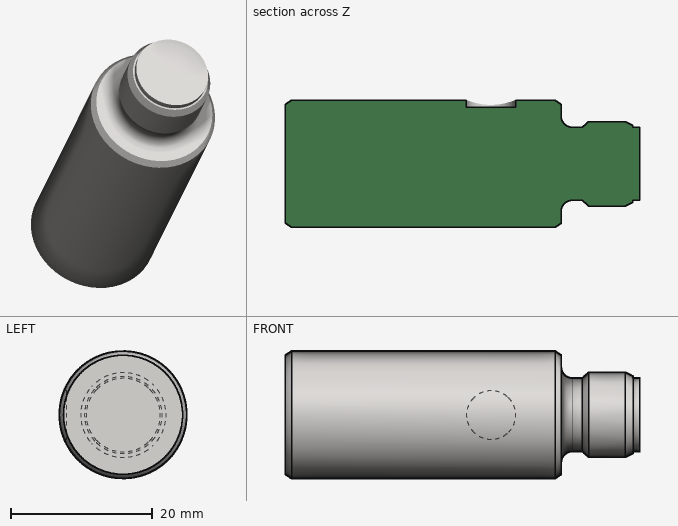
import cadquery as cq

total_length = 50.0
body_radius = 9.0
body_end = 38.95

chamfer_length = 0.9
chamfer_height = 0.6

neck_radius = 5.2
neck_fillet = 1.5
neck_end = 41.9

collar_radius = 6.0
collar_start = 42.8
collar_end = 47.95
collar_taper_end = 49.05
collar_taper_radius = 5.45
tip_radius = neck_radius

pocket_center = 29.0
pocket_radius = 3.45
pocket_depth = 1.0


def make_turned_body():
    """Revolve the half outline about the X axis."""
    face_radius = body_radius - chamfer_height
    outline = (
        cq.Workplane("XY")
        .lineTo(0, face_radius)
        .lineTo(chamfer_length, body_radius)
        .lineTo(body_end - chamfer_length, body_radius)
        .lineTo(body_end, face_radius)
        .lineTo(body_end, neck_radius + neck_fillet)
        .radiusArc((body_end + neck_fillet, neck_radius), -neck_fillet)
        .lineTo(neck_end, neck_radius)
        .lineTo(collar_start, collar_radius)
        .lineTo(collar_end, collar_radius)
        .lineTo(collar_taper_end, collar_taper_radius)
        .lineTo(collar_taper_end, tip_radius)
        .lineTo(total_length, tip_radius)
        .lineTo(total_length, 0)
        .close()
    )
    return outline.revolve(360, (0, 0, 0), (1, 0, 0))


def make_pocket_cutter():
    """Cylinder along Y reaching from the pocket floor outwards."""
    floor_y = body_radius - pocket_depth
    return (
        cq.Workplane("XZ", origin=(pocket_center, floor_y, 0))
        .circle(pocket_radius)
        .extrude(-2 * pocket_depth)
    )


result = make_turned_body().cut(make_pocket_cutter())